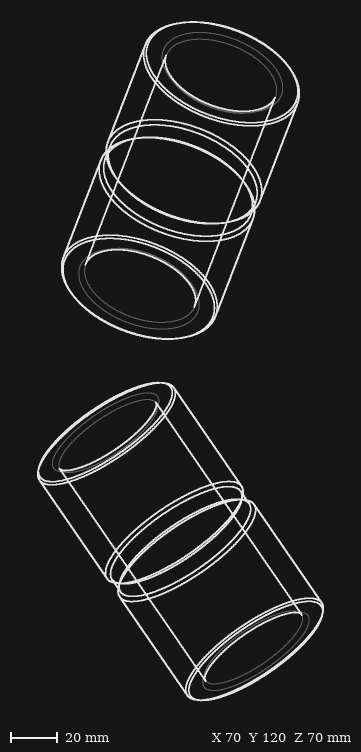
import cadquery as cq

length = 120.0
outer_diameter = 70.0
bore_diameter = 50.0
rim_chamfer = 1.0
mouth_radius = 2.0
groove_width = 10.0
groove_depth = 1.5


def make_tube():
    """Plain tube with chamfered outer rims and rounded bore mouths."""
    body = cq.Workplane("XZ").circle(outer_diameter / 2).extrude(length / 2, both=True)
    body = body.faces("<Y or >Y").edges().chamfer(rim_chamfer)
    bore = cq.Workplane("XZ").circle(bore_diameter / 2).extrude(length / 2, both=True)
    tube = body.cut(bore)
    bore_edges = tube.faces("<Y or >Y").edges(cq.selectors.RadiusNthSelector(0))
    return bore_edges.fillet(mouth_radius)


def make_groove_cutter():
    """Ring that cuts the middle groove, with 45 degree flanks."""
    outer_radius = outer_diameter / 2
    floor_radius = outer_radius - groove_depth
    clearance = 1.2
    half_mouth = groove_width / 2
    half_floor = half_mouth - groove_depth
    half_top = half_mouth + clearance
    profile = [
        (floor_radius, -half_floor),
        (outer_radius + clearance, -half_top),
        (outer_radius + clearance, half_top),
        (floor_radius, half_floor),
    ]
    return cq.Workplane("XY").polyline(profile).close().revolve(360, (0, 0, 0), (0, 1, 0))


result = make_tube().cut(make_groove_cutter())